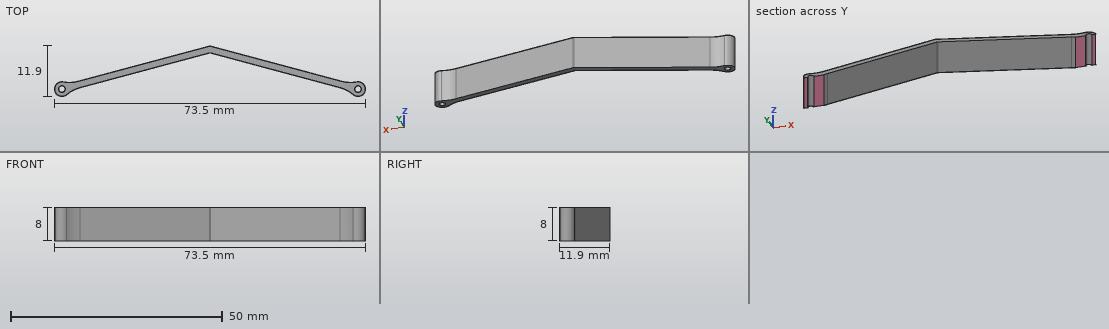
import cadquery as cq
import math

hole_spacing = 70.0
height = 8.0
arm_thickness = 1.6
arm_angle = math.radians(15.0)
eye_diameter = 3.5
hole_diameter = 1.5
neck_radius = 8.0
bend_radius = 0.5

half_spacing = hole_spacing / 2
eye_radius = eye_diameter / 2
half_thickness = arm_thickness / 2
bend_rise = half_spacing * math.tan(arm_angle)
half_height_at_bend = half_thickness / math.cos(arm_angle)
blend_distance = math.sqrt(
    (eye_radius + neck_radius) ** 2 - (half_thickness + neck_radius) ** 2
)


def bent_arms():
    """Constant-thickness strip running from eye centre to eye centre with one bend."""
    end_dx = half_thickness * math.sin(arm_angle)
    end_dy = half_thickness * math.cos(arm_angle)
    strip = (
        cq.Workplane("XY")
        .moveTo(-half_spacing - end_dx, end_dy)
        .lineTo(0, bend_rise + half_height_at_bend)
        .lineTo(half_spacing + end_dx, end_dy)
        .lineTo(half_spacing - end_dx, -end_dy)
        .lineTo(0, bend_rise - half_height_at_bend)
        .lineTo(-half_spacing + end_dx, -end_dy)
        .close()
        .extrude(height)
    )
    for side in (1, -1):
        bend_y = bend_rise + side * half_height_at_bend
        bend_edge = cq.selectors.NearestToPointSelector((0, bend_y, height / 2))
        strip = strip.edges("|Z").edges(bend_edge).fillet(bend_radius)
    return strip


def left_eye():
    """Round eye with a neck that flares tangentially into the left arm."""
    blend_centre_y = half_thickness + neck_radius
    touch_scale = eye_radius / (eye_radius + neck_radius)
    touch_x = blend_distance * touch_scale
    touch_y = blend_centre_y * touch_scale

    touch_angle = math.atan2(blend_distance, blend_centre_y)
    middle_x = blend_distance - neck_radius * math.sin(touch_angle / 2)
    middle_y = blend_centre_y - neck_radius * math.cos(touch_angle / 2)

    neck = (
        cq.Workplane("XY")
        .moveTo(touch_x, touch_y)
        .threePointArc((middle_x, middle_y), (blend_distance, half_thickness))
        .lineTo(blend_distance, -half_thickness)
        .threePointArc((middle_x, -middle_y), (touch_x, -touch_y))
        .threePointArc((-eye_radius, 0), (touch_x, touch_y))
        .close()
        .extrude(height)
    )
    turned_neck = neck.rotate((0, 0, 0), (0, 0, 1), math.degrees(arm_angle))
    return turned_neck.translate((-half_spacing, 0, 0))


def eye_holes():
    """Through holes at the two eye centres."""
    return (
        cq.Workplane("XY")
        .pushPoints([(-half_spacing, 0), (half_spacing, 0)])
        .circle(hole_diameter / 2)
        .extrude(height)
    )


eye = left_eye()
result = bent_arms().union(eye).union(eye.mirror("YZ")).cut(eye_holes())